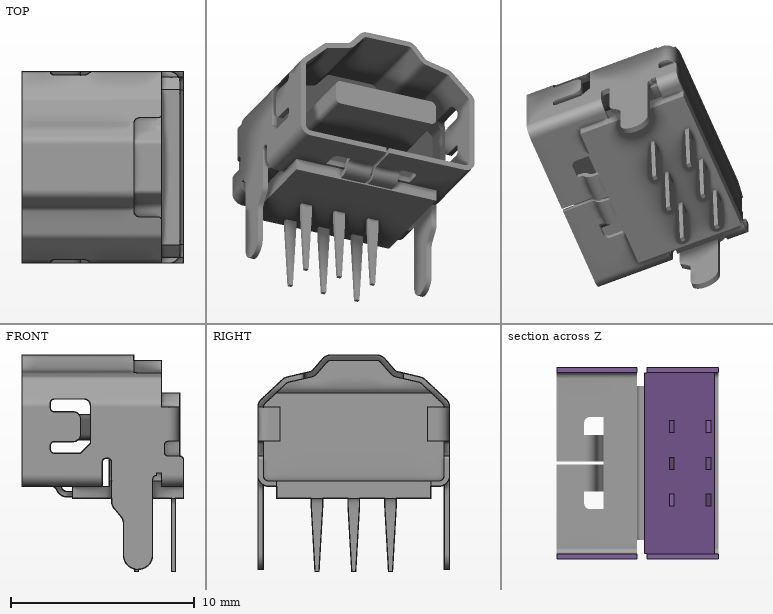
import cadquery as cq
import math


sheet = 0.3
bend_inner = 0.3
bend_outer = bend_inner + sheet
shell_half_width = 5.22
shell_height = 7.16
crown_half_width = 1.51
valley_y, valley_z = 2.29, 6.27
shoulder_y, shoulder_z = 3.77, 5.93
eave_z = 4.56
wall_top_z = 4.31
roof_length = 7.61
shell_length = 8.8

crown_notch_start = 6.1
crown_notch_half_width = 2.7
crown_notch_inner_radius = 0.3
crown_notch_mouth_radius = 0.2

window_x0, window_x1 = 1.555, 3.72
window_z0, window_z1 = 1.82, 4.75
window_chamfer = 0.53
window_top_radius = 0.33
window_corner_radius = 0.2
spring_end_x = 3.19
spring_z0, spring_z1 = 2.43, 4.07
spring_radius = 0.4

leg_x0, leg_x1 = 4.88, 7.12
leg_width = 1.6
leg_bottom_z = -4.52
leg_taper_top_z, leg_taper_bottom_z = -1.03, -1.8
leg_taper_radius = 0.55
floor_end = 4.38
leg_slot_top_z = 1.53
leg_slot_radius = 0.2
relief_z, relief_step_z = 0.6, 0.74
relief_radius = 0.2

flap_x1 = 8.6
flap_z0 = 2.46
flap_reach = 0.6
strip_top_z = 1.65
strip_radius = 0.2
flap_slot_x0 = 7.76
flap_slot_radius = 0.2

opening_x0, opening_x1 = 1.5, 2.55
opening_half_width = 2.5
opening_radius = 0.3
seam = 0.18
foot_y0, foot_y1 = seam / 2, 1.54
foot_bend_x = 1.78
foot_drop = 0.57
foot_angle = 60

housing_front, housing_rear = 4.75, 8.6
housing_rear_top_z = 5.09
base_front = 2.75
base_half_width = 4.2
base_bottom_z = -0.65
tongue_front = 0.25
tongue_half_width = 3.01
tongue_z0, tongue_z1 = 2.54, 3.92
tongue_radius = 0.3

contact_pitch = 2.0
contact_thickness = 0.22
pad_front = 0.6
pad_width = 1.4
pin_width, pin_tip_width = 0.63, 0.23
pin_taper_z, pin_tip_z = -1.13, -4.64
upper_pin_x, lower_pin_x = 8.14, 6.13

match_tolerance = 1e-3


def box(x0, x1, y0, y1, z0, z1):
    """Box between two corners."""
    return cq.Workplane("XY").box(x1 - x0, y1 - y0, z1 - z0, centered=False).translate((x0, y0, z0))


def side_prism(sketch, y0, y1):
    """Extrude an XZ outline from y0 to y1."""
    return sketch.extrude(y0 - y1).translate((0, y0, 0))


def mirror_pair(body):
    """A body together with its mirror image across the XZ plane."""
    return body.union(body.mirror("XZ"))


def edges_along_x(body, places):
    """Edges parallel to X that pass through any of the given (y, z) places."""
    def near(edge):
        spot = edge.Center()
        return any(math.hypot(spot.y - y, spot.z - z) < match_tolerance for y, z in places)
    return body.edges("|X").filter(near)


def edges_along_y(body, places):
    """Edges parallel to Y that pass through any of the given (x, z) places."""
    def near(edge):
        spot = edge.Center()
        return any(math.hypot(spot.x - x, spot.z - z) < match_tolerance for x, z in places)
    return body.edges("|Y").filter(near)


def shell_envelope():
    """Solid inside the outer skin of the shell, over its full length."""
    half = [
        (crown_half_width, shell_height),
        (valley_y, valley_z),
        (shoulder_y, shoulder_z),
        (shell_half_width, eave_z),
        (shell_half_width, 0),
    ]
    other_half = [(-y, z) for y, z in reversed(half)]
    solid = cq.Workplane("YZ").polyline(half + other_half).close().extrude(shell_length)
    valleys = [(valley_y, valley_z), (-valley_y, valley_z)]
    corners = [place for place in half + other_half if place not in valleys]
    solid = edges_along_x(solid, corners).fillet(bend_outer)
    return edges_along_x(solid, valleys).fillet(bend_inner)


def shell_cavity():
    """Solid that fills the inside of the shell, over its full length."""
    skin = shell_envelope().faces("<X").wires().val()
    inner_wire = skin.offset2D(-sheet)[0]
    return cq.Workplane(cq.Solid.extrudeLinear(inner_wire, [], cq.Vector(shell_length, 0, 0)))


def crown_notch():
    """Notch in the rear of the crown, flared where it leaves the rear edge."""
    flare = crown_notch_half_width + crown_notch_mouth_radius
    r = crown_notch_mouth_radius
    notch = box(crown_notch_start, shell_length, -crown_notch_half_width, crown_notch_half_width,
                wall_top_z, shell_height)
    notch = notch.edges("|Z and <X").fillet(crown_notch_inner_radius)
    mouth = box(roof_length - r, roof_length, crown_notch_half_width, flare, wall_top_z, shell_height)
    rounding = cq.Workplane("XY").center(roof_length - r, flare).circle(r).extrude(shell_height)
    return notch.union(mirror_pair(mouth.cut(rounding)))


def side_windows():
    """C-shaped windows through both side walls, leaving a spring tab in each."""
    span = shell_half_width + sheet
    window = box(window_x0, window_x1, -span, span, window_z0, window_z1)
    window = edges_along_y(window, [(window_x1, window_z0)]).chamfer(window_chamfer)
    window = edges_along_y(window, [(window_x1, window_z1)]).fillet(window_top_radius)
    spring = box(window_x0 - sheet, spring_end_x, -span, span, spring_z0, spring_z1)
    spring = spring.edges("|Y and >X").fillet(spring_radius)
    window = window.cut(spring)
    arm_corners = [
        (window_x0, window_z0),
        (window_x0, window_z1),
        (window_x0, spring_z0),
        (window_x0, spring_z1),
    ]
    return edges_along_y(window, arm_corners).fillet(window_corner_radius)


def leg():
    """Straight solder leg on the -Y side, tapering to a round end."""
    tip_x0 = leg_x1 - leg_width
    tip_radius = leg_width / 2
    tip_start_z = leg_bottom_z + tip_radius
    outline = (
        cq.Workplane("XZ").moveTo(leg_x0, bend_outer)
        .lineTo(leg_x0, leg_taper_top_z)
        .lineTo(tip_x0, leg_taper_bottom_z)
        .lineTo(tip_x0, tip_start_z)
        .threePointArc((tip_x0 + tip_radius, leg_bottom_z), (leg_x1, tip_start_z))
        .lineTo(leg_x1, bend_outer)
        .close()
    )
    plate = side_prism(outline, -shell_half_width, -shell_half_width + sheet)
    taper_ends = [(leg_x0, leg_taper_top_z), (tip_x0, leg_taper_bottom_z)]
    return edges_along_y(plate, taper_ends).fillet(leg_taper_radius)


def leg_reliefs():
    """Cuts through both side walls in front of and behind the legs."""
    span = shell_half_width + sheet
    front = box(floor_end, leg_x0, -span, span, -sheet, leg_slot_top_z)
    front = front.edges("|Y and >Z").fillet(leg_slot_radius)
    step_x = leg_x1 + relief_radius
    rear = box(leg_x1, roof_length, -span, span, -sheet, relief_z)
    rear = edges_along_y(rear, [(leg_x1, relief_z)]).fillet(relief_radius)
    step = box(step_x, roof_length, -span, span, -sheet, relief_step_z)
    return front.union(rear).union(step)


def flap():
    """Rear flap on the +Y side, folded inward from the side wall."""
    bend_x = flap_x1 - bend_outer
    bend_y = shell_half_width - bend_outer
    end_y = bend_y - flap_reach
    s = math.sqrt(0.5)
    return (
        cq.Workplane("XY").workplane(offset=flap_z0)
        .moveTo(bend_x, shell_half_width)
        .threePointArc((bend_x + s * bend_outer, bend_y + s * bend_outer), (flap_x1, bend_y))
        .lineTo(flap_x1, end_y)
        .lineTo(flap_x1 - sheet, end_y)
        .lineTo(flap_x1 - sheet, bend_y)
        .threePointArc((bend_x + s * bend_inner, bend_y + s * bend_inner), (bend_x, bend_y + bend_inner))
        .close()
        .extrude(wall_top_z - flap_z0)
    )


def rear_trim():
    """Material removed behind the roof, leaving the flap roots and the lower strips."""
    span = shell_half_width + sheet
    above = box(roof_length, shell_length, -span, span, wall_top_z, shell_height)
    behind = box(flap_x1 - bend_outer, shell_length, -span, span, strip_top_z, wall_top_z)
    slot = box(flap_slot_x0, shell_length, -span, span, strip_top_z, flap_z0)
    slot = slot.edges("|Y and <X").fillet(flap_slot_radius)
    return above.union(behind).union(slot)


def foot():
    """Foot on the +Y side, stepping down from the floor to the front of the housing base."""
    run = foot_drop / math.tan(math.radians(foot_angle))
    miter = sheet * math.tan(math.radians(foot_angle / 2))
    lower_bend_x = foot_bend_x + run
    root_x = opening_x0 - sheet
    under = [(foot_bend_x, 0), (lower_bend_x, -foot_drop)]
    over = [(x + miter, z + sheet) for x, z in under]
    ends = [(base_front, -foot_drop), (base_front, sheet - foot_drop)]
    outline = [(root_x, 0)] + under + ends + over[::-1] + [(root_x, sheet)]
    body = side_prism(cq.Workplane("XZ").polyline(outline).close(), foot_y0, foot_y1)
    body = edges_along_y(body, [under[0], over[1]]).fillet(bend_inner)
    return edges_along_y(body, [over[0], under[1]]).fillet(bend_outer)


def make_shell():
    """Folded sheet metal shell."""
    span = shell_half_width + sheet
    body = shell_envelope().cut(shell_cavity())
    body = body.cut(crown_notch()).cut(side_windows()).cut(rear_trim())
    body = edges_along_y(body, [(shell_length, strip_top_z)]).fillet(strip_radius)
    body = body.cut(box(0, opening_x1, -seam / 2, seam / 2, 0, sheet))
    opening = box(opening_x0, opening_x1, -opening_half_width, opening_half_width, 0, sheet)
    body = body.cut(opening.edges("|Z and <X").fillet(opening_radius))
    body = body.cut(box(floor_end, roof_length, -span, span, 0, bend_outer))
    body = body.cut(box(roof_length, shell_length, -base_half_width, base_half_width, 0, sheet))
    body = body.union(mirror_pair(foot())).union(mirror_pair(flap())).union(mirror_pair(leg()))
    stub = box(leg_x1, roof_length, -shell_half_width, -shell_half_width + sheet, 0, bend_outer)
    return body.union(mirror_pair(stub)).cut(leg_reliefs())


def make_contact(pad_z, pin_x, y):
    """L-shaped contact: a pad along the tongue and a tapered pin pointing down."""
    pin_end_x = pin_x + contact_thickness
    pad = box(pad_front, pin_end_x, y - pad_width / 2, y + pad_width / 2, pad_z, pad_z + contact_thickness)
    wide, tip = pin_width / 2, pin_tip_width / 2
    pin = (
        cq.Workplane("YZ").workplane(offset=pin_x)
        .polyline([
            (y - wide, pad_z), (y - wide, pin_taper_z), (y - tip, pin_tip_z),
            (y + tip, pin_tip_z), (y + wide, pin_taper_z), (y + wide, pad_z),
        ])
        .close().extrude(contact_thickness)
    )
    return pad.union(pin)


def flap_recess():
    """Step in the rear edge of the housing, on the +Y side, that clears the folded flap."""
    flap_end_y = shell_half_width - bend_outer - flap_reach
    return box(flap_x1 - sheet, flap_x1, flap_end_y, shell_half_width, flap_z0, wall_top_z)


def make_housing(fitted_bodies):
    """Plastic housing with its tongue and base, recessed for the bodies fitted in it."""
    span = shell_half_width
    body = shell_cavity().intersect(box(housing_front, housing_rear, -span, span, 0, shell_height))
    body = body.cut(box(roof_length, housing_rear, -span, span, housing_rear_top_z, shell_height))
    body = body.cut(mirror_pair(flap_recess()))
    inner_half_width = shell_half_width - sheet
    lower = box(housing_front, roof_length, -inner_half_width, inner_half_width, sheet, bend_outer)
    base = box(base_front, shell_length, -base_half_width, base_half_width, base_bottom_z, 0)
    riser = box(housing_front, shell_length, -base_half_width, base_half_width, 0, sheet)
    tongue = box(tongue_front, housing_front, -tongue_half_width, tongue_half_width, tongue_z0, tongue_z1)
    tongue = tongue.edges("|X").fillet(tongue_radius)
    body = body.union(lower).union(base).union(riser).union(tongue)
    for fitted in fitted_bodies:
        body = body.cut(fitted)
    return body


shell = make_shell()
contacts = []
for row in (-1, 0, 1):
    contact_y = row * contact_pitch
    contacts.append(make_contact(tongue_z1 - contact_thickness, upper_pin_x, contact_y))
    contacts.append(make_contact(tongue_z0, lower_pin_x, contact_y))
housing = make_housing([shell] + contacts)

result = cq.Compound.makeCompound([shell.val(), housing.val()] + [contact.val() for contact in contacts])